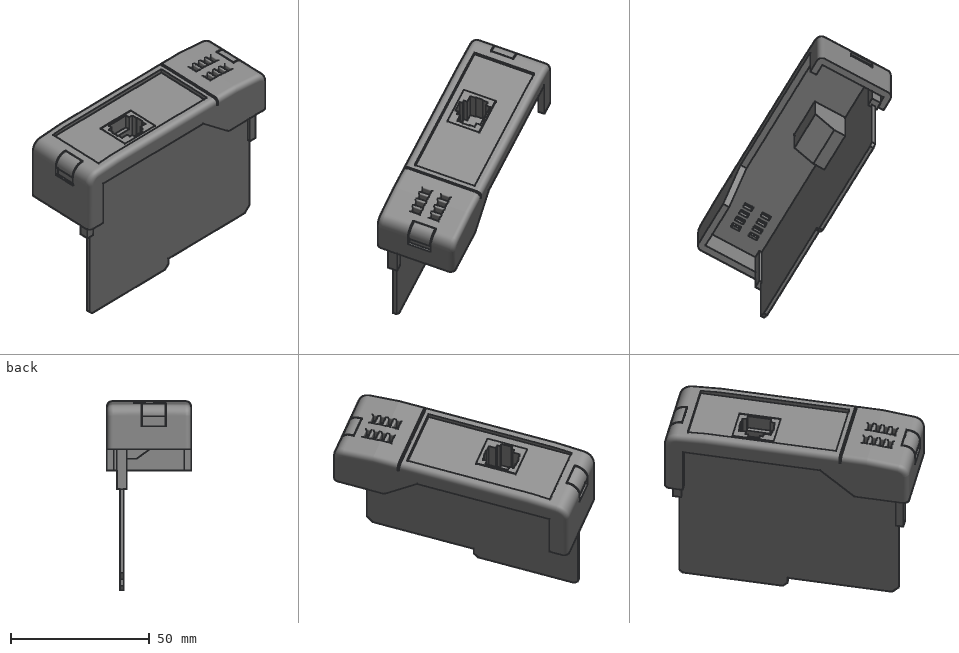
import cadquery as cq

width = 30.5
length = 90.0
height = 68.4

wall = 2.5
roof = 3.6
cover_end_z = -25.1
side_edge_radius = 2.1
front_slope_y = -30.0
front_slope_drop = 1.0
front_corner_radius = 4.8
back_slope_y = 29.7
back_slope_drop = 1.5
back_corner_radius = 4.05

leg_inner_y = -38.1
notch_top_z = -7.2
notch_ramp_top_y = 12.6
notch_ramp_bottom_y = 25.2
back_edge_z = -17.5

panel_width = 23.6
panel_back_y = 17.7
panel_front_y = -37.0
panel_depth = 1.6

groove_back_y = 20.2
groove_width = 0.6
groove_depth = 0.8
groove_bottom_z = -2.6

window_columns_x = (-3.9, 3.4)
window_rows = 4
window_pitch = 3.0
first_window_y = 35.7
window_length = 3.4
window_width = 1.6
window_rim_radius = 0.45
window_slack = 0.1

tab_width = 9.0
tab_inner_y = 40.0
tab_root_gap = 0.2
tab_side_gap = 0.315
tab_groove_depth = 1.1
tab_lip_z = -5.6
tab_bottom_z = -9.1
finger_pocket_depth = 0.9
front_tab_x = 2.25
back_tab_x = -1.7

board_x = 9.1
board_thickness = 1.4
board_front_y = -40.3
board_back_y = 40.5
board_step_y = -0.45
board_step_z = -64.35
back_corner_chamfer = 2.4
step_chamfer = 1.7
front_corner_chamfer = 1.3
guide_thickness = 3.6
guide_bottom_z = -31.9
front_guide_inner_y = -39.4
back_guide_inner_y = 39.6

jack_width = 12.4
jack_length = 15.2
jack_center_y = -13.4
jack_low_z = -20.9
jack_outer_z = -15.2
jack_slope_run = 7.8
jack_gap = 0.3
socket_depth = 11.7
contact_depth = 5.4

half_width = width / 2
half_length = length / 2
inner_half_length = half_length - wall
board_middle_x = board_x + board_thickness / 2
jack_x = board_x - jack_width
clearance = 0.9


def box(x0, x1, y0, y1, z0, z1):
    """Block between two opposite corners."""
    return cq.Workplane("XY").box(x1 - x0, y1 - y0, z1 - z0, centered=False).translate((x0, y0, z0))


def prism(points, x0, x1):
    """Polygon of (y, z) points, extruded from x0 to x1."""
    return cq.Workplane("YZ", origin=(x0, 0, 0)).polyline(points).close().extrude(x1 - x0)


def cover_outline():
    """Side outline of the cover, extruded over its full width, with rounded end corners."""
    points = [
        (-half_length, cover_end_z),
        (-half_length, -front_slope_drop),
        (front_slope_y, 0),
        (back_slope_y, 0),
        (half_length, -back_slope_drop),
        (half_length, cover_end_z),
    ]
    blank = prism(points, -half_width, half_width)
    front_corner = cq.NearestToPointSelector((0, -half_length, -front_slope_drop))
    back_corner = cq.NearestToPointSelector((0, half_length, -back_slope_drop))
    blank = blank.edges(front_corner).fillet(front_corner_radius)
    return blank.edges(back_corner).fillet(back_corner_radius)


def inset_outline(depth):
    """The unrounded cover, drawn in by `depth` all round its side outline."""
    wire = cover_outline().faces("<X").wires().val().offset2D(-depth)[0]
    return cq.Workplane(cq.Solid.extrudeLinear(wire, [], cq.Vector(width, 0, 0)))


def lower_notch():
    """Space below the side walls, across the whole width."""
    low = cover_end_z - clearance
    points = [
        (leg_inner_y, low),
        (leg_inner_y, notch_top_z),
        (notch_ramp_top_y, notch_top_z),
        (notch_ramp_bottom_y, back_edge_z),
        (half_length + clearance, back_edge_z),
        (half_length + clearance, low),
    ]
    return prism(points, -half_width - clearance, half_width + clearance)


def cavity():
    """Hollow inside the cover, open at the bottom."""
    inner = half_width - wall
    return box(-inner, inner, -inner_half_length, inner_half_length, cover_end_z - clearance, -roof)


def panel_recess():
    """Flat-bottomed recess in the top of the cover."""
    half_panel = panel_width / 2
    return box(-half_panel, half_panel, panel_front_y, panel_back_y, -panel_depth, clearance)


def parting_groove():
    """Narrow groove that follows the top and the rounded upper sides."""
    front_y = groove_back_y - groove_width
    slab = box(-half_width, half_width, front_y, groove_back_y, groove_bottom_z, clearance)
    inner = half_width - groove_depth
    core = box(-inner, inner, front_y, groove_back_y, -roof, -groove_depth)
    return slab.cut(core.edges("|Y and >Z").fillet(side_edge_radius - groove_depth))


def add_window(cover, x, y):
    """Cut a rectangular opening through the roof and round its upper rim."""
    dx = window_length / 2
    dy = window_width / 2
    cover = cover.cut(box(x - dx, x + dx, y - dy, y + dy, -roof - clearance, clearance))
    rim_low = (x - dx - window_slack, y - dy - window_slack, -back_slope_drop)
    rim_high = (x + dx + window_slack, y + dy + window_slack, clearance)
    return cover.edges(cq.selectors.BoxSelector(rim_low, rim_high)).fillet(window_rim_radius)


def snap_tab(x, end):
    """Grooves that outline a tab, and the finger pocket below it; `end` is -1 or +1 along Y."""
    half_tab = tab_width / 2
    frame = box(-half_tab, half_tab, tab_inner_y, half_length, tab_bottom_z, clearance)
    half_tongue = half_tab - tab_side_gap
    tongue_y = tab_inner_y + tab_root_gap
    tongue = box(-half_tongue, half_tongue, tongue_y, half_length, tab_bottom_z, clearance)
    pocket_y = half_length - finger_pocket_depth
    pocket = box(-half_tab, half_tab, pocket_y, half_length, tab_bottom_z, tab_lip_z)
    groove = frame.cut(tongue)
    if end < 0:
        groove = groove.mirror("XZ")
        pocket = pocket.mirror("XZ")
    groove = groove.translate((x, 0, 0)).cut(inset_outline(tab_groove_depth))
    return groove.union(pocket.translate((x, 0, 0)))


def board_guides():
    """Strips inside both end walls, hanging below the cover to hold the board's edges."""
    x0 = board_middle_x - guide_thickness / 2
    x1 = board_middle_x + guide_thickness / 2
    front = box(x0, x1, -inner_half_length, front_guide_inner_y, guide_bottom_z, -roof)
    back = box(x0, x1, back_guide_inner_y, inner_half_length, guide_bottom_z, -roof)
    return front, back


def jack_opening():
    """Hole in the roof for the jack, with a gap on its -X side."""
    y0 = jack_center_y - jack_length / 2
    return box(jack_x - jack_gap, board_x, y0, y0 + jack_length, -roof - clearance, 0)


def board_plate():
    """Board with stepped lower edge and cut corners; its top edge meets the roof."""
    points = [
        (board_front_y, -roof),
        (board_front_y, -height + front_corner_chamfer),
        (board_front_y + front_corner_chamfer, -height),
        (board_step_y - step_chamfer, -height),
        (board_step_y, -height + step_chamfer),
        (board_step_y, board_step_z),
        (board_back_y - back_corner_chamfer, board_step_z),
        (board_back_y, board_step_z + back_corner_chamfer),
        (board_back_y, -roof),
    ]
    return prism(points, board_x, board_x + board_thickness)


def jack_body():
    """Jack block on the board, flush with the panel and partly sloping underneath."""
    points = [
        (jack_x, -panel_depth),
        (board_x, -panel_depth),
        (board_x, jack_low_z),
        (jack_x + jack_slope_run, jack_low_z),
        (jack_x, jack_outer_z),
    ]
    start_y = jack_center_y + jack_length / 2
    return cq.Workplane("XZ", origin=(0, start_y, 0)).polyline(points).close().extrude(jack_length)


def socket():
    """Keyed plug opening as stacked steps along X, with a shallower slot for the contacts."""
    steps = (
        (-2.6, -1.0, 4.3, contact_depth),
        (-1.0, 5.85, 5.9, socket_depth),
        (1.0, 3.8, 6.2, socket_depth),
        (5.85, 7.2, 3.2, socket_depth),
        (7.2, 8.3, 2.1, socket_depth),
    )
    opening = cq.Workplane("XY")
    for x0, x1, half, depth in steps:
        y0 = jack_center_y - half
        y1 = jack_center_y + half
        opening = opening.union(box(x0, x1, y0, y1, -panel_depth - depth, -panel_depth))
    return opening


def make_board():
    """Circuit board with the network jack on it."""
    return board_plate().union(jack_body()).cut(socket())


def make_cover(board):
    """Hollow cover with guides, slotted to take the board."""
    cover = cover_outline()
    rim = cover.faces("<X or >X").edges("not <Z")
    cover = cover.newObject(rim.vals()).fillet(side_edge_radius)
    cover = cover.cut(lower_notch()).cut(cavity())
    for guide in board_guides():
        cover = cover.union(guide)
    cover = cover.cut(panel_recess()).cut(parting_groove()).cut(jack_opening())
    for x in window_columns_x:
        for row in range(window_rows):
            cover = add_window(cover, x, first_window_y - row * window_pitch)
    cover = cover.cut(snap_tab(front_tab_x, -1)).cut(snap_tab(back_tab_x, 1))
    return cover.cut(board_plate())


board = make_board()
cover = make_cover(board)

result = cq.Compound.makeCompound([cover.val(), board.val()])